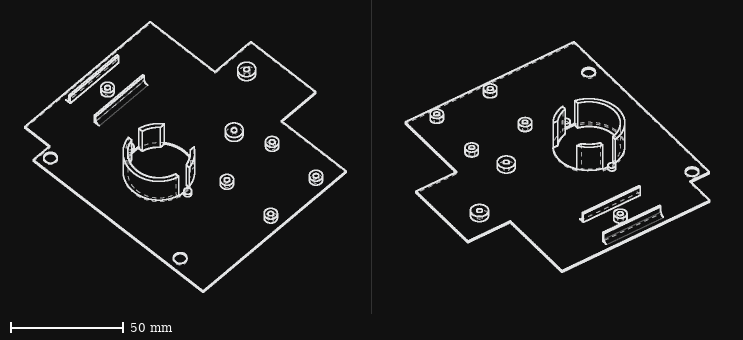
import cadquery as cq
import math

PLATE_THICKNESS = 1.0
OVERALL_HEIGHT = 15.0

PLATE_HALF_WIDTH = 60.0
PLATE_DEPTH = 114.0
FRONT_Y = -34.1
BACK_Y = FRONT_Y + PLATE_DEPTH
TAB_HALF_WIDTH = 20.0
LEFT_SHOULDER_Y = 56.9
RIGHT_SHOULDER_Y = 57.7
CORNER_NOTCH_X = -44.6
CORNER_NOTCH_Y = -23.5

MOUNT_HOLE_DIAMETER = 6.0
MOUNT_HOLE_X = 40.0
MOUNT_HOLE_Y = -28.0

COLLAR_OUTER_RADIUS = 16.0
COLLAR_WALL = 2.0
COLLAR_INNER_RADIUS = COLLAR_OUTER_RADIUS - COLLAR_WALL
SIDE_SLOT_HALF_WIDTH = 3.4
BACK_GAP_HALF_WIDTH = 9.1

PEG_DIAMETER = 3.6
PEG_HEIGHT = 1.8
PEG_X = COLLAR_OUTER_RADIUS + PEG_DIAMETER / 2

STANDOFF_HEIGHT = 3.0
STANDOFF_BORE = 2.5
SMALL_STANDOFF_DIAMETER = 6.0
LARGE_STANDOFF_DIAMETER = 8.0
STANDOFF_FRONT_Y = 16.0
STANDOFF_BACK_Y = 45.0
STANDOFF_INNER_X = 26.6
STANDOFF_OUTER_X = 53.6
STANDOFF_LEFT_X = -46.9
SMALL_STANDOFFS = [
    (STANDOFF_LEFT_X, STANDOFF_FRONT_Y),
    (STANDOFF_INNER_X, STANDOFF_FRONT_Y),
    (STANDOFF_OUTER_X, STANDOFF_FRONT_Y),
    (STANDOFF_INNER_X, STANDOFF_BACK_Y),
    (STANDOFF_OUTER_X, STANDOFF_BACK_Y),
]
LARGE_STANDOFFS = [(-9.2, 66.0), (10.0, 37.9)]

RAIL_HEIGHT = 5.0
RAIL_THICKNESS = 1.0
RAIL_FOOT_RADIUS = 1.9
RAIL_LENGTH = 31.1
RAIL_FRONT_Y = -0.2
LEFT_RAIL_INNER_X = -54.4
RIGHT_RAIL_INNER_X = -39.5


def make_base_sheet():
    """Flat stepped sheet with mounting holes and the round, side-slotted opening."""
    outline = [
        (CORNER_NOTCH_X, FRONT_Y),
        (PLATE_HALF_WIDTH, FRONT_Y),
        (PLATE_HALF_WIDTH, RIGHT_SHOULDER_Y),
        (TAB_HALF_WIDTH, RIGHT_SHOULDER_Y),
        (TAB_HALF_WIDTH, BACK_Y),
        (-TAB_HALF_WIDTH, BACK_Y),
        (-TAB_HALF_WIDTH, LEFT_SHOULDER_Y),
        (-PLATE_HALF_WIDTH, LEFT_SHOULDER_Y),
        (-PLATE_HALF_WIDTH, CORNER_NOTCH_Y),
        (CORNER_NOTCH_X, CORNER_NOTCH_Y),
    ]
    sheet = cq.Workplane("XY").polyline(outline).close().extrude(PLATE_THICKNESS)
    mount_holes = (
        cq.Workplane("XY")
        .pushPoints([(-MOUNT_HOLE_X, MOUNT_HOLE_Y), (MOUNT_HOLE_X, MOUNT_HOLE_Y)])
        .circle(MOUNT_HOLE_DIAMETER / 2)
        .extrude(PLATE_THICKNESS)
    )
    opening = cq.Workplane("XY").circle(COLLAR_OUTER_RADIUS).extrude(PLATE_THICKNESS)
    side_slot = (
        cq.Workplane("XY")
        .rect(2 * COLLAR_OUTER_RADIUS, 2 * SIDE_SLOT_HALF_WIDTH)
        .extrude(PLATE_THICKNESS)
    )
    return sheet.cut(mount_holes).cut(opening).cut(side_slot)


def collar_point(radius, y):
    """Point at positive X on a circle about the origin."""
    return (math.sqrt(radius**2 - y**2), y)


def make_back_collar(side):
    """One of the two short back walls; side is -1 for left and 1 for right."""
    outer_start = collar_point(COLLAR_OUTER_RADIUS, SIDE_SLOT_HALF_WIDTH)
    inner_start = collar_point(COLLAR_INNER_RADIUS, SIDE_SLOT_HALF_WIDTH)
    outer_end_y = math.sqrt(COLLAR_OUTER_RADIUS**2 - BACK_GAP_HALF_WIDTH**2)
    inner_end_y = math.sqrt(COLLAR_INNER_RADIUS**2 - BACK_GAP_HALF_WIDTH**2)
    middle_y = (SIDE_SLOT_HALF_WIDTH + inner_end_y) / 2
    outer_middle = collar_point(COLLAR_OUTER_RADIUS, middle_y)
    inner_middle = collar_point(COLLAR_INNER_RADIUS, middle_y)
    return (
        cq.Workplane("XY")
        .moveTo(side * inner_start[0], inner_start[1])
        .lineTo(side * outer_start[0], outer_start[1])
        .threePointArc(
            (side * outer_middle[0], outer_middle[1]),
            (side * BACK_GAP_HALF_WIDTH, outer_end_y),
        )
        .lineTo(side * BACK_GAP_HALF_WIDTH, inner_end_y)
        .threePointArc((side * inner_middle[0], inner_middle[1]), (side * inner_start[0], inner_start[1]))
        .close()
        .extrude(OVERALL_HEIGHT)
    )


def make_front_collar():
    """C-shaped wall seated in the front half of the round opening."""
    outer_x, end_y = collar_point(COLLAR_OUTER_RADIUS, -SIDE_SLOT_HALF_WIDTH)
    inner_x = collar_point(COLLAR_INNER_RADIUS, -SIDE_SLOT_HALF_WIDTH)[0]
    return (
        cq.Workplane("XY")
        .moveTo(-outer_x, end_y)
        .threePointArc((0, -COLLAR_OUTER_RADIUS), (outer_x, end_y))
        .lineTo(inner_x, end_y)
        .threePointArc((0, -COLLAR_INNER_RADIUS), (-inner_x, end_y))
        .close()
        .extrude(OVERALL_HEIGHT)
    )


def make_posts(points, diameter, height):
    """Round posts standing on the top face of the sheet."""
    return (
        cq.Workplane("XY", origin=(0, 0, PLATE_THICKNESS))
        .pushPoints(points)
        .circle(diameter / 2)
        .extrude(height)
    )


def make_rail(inner_x, outward):
    """Upright rail with a concave foot; outward is the X direction of the foot."""
    foot_top_z = PLATE_THICKNESS + RAIL_FOOT_RADIUS
    rail_top_z = PLATE_THICKNESS + RAIL_HEIGHT
    outer_x = inner_x + outward * RAIL_THICKNESS
    toe_x = outer_x + outward * RAIL_FOOT_RADIUS
    arc_offset = RAIL_FOOT_RADIUS * math.sin(math.pi / 4)
    return (
        cq.Workplane("XZ", origin=(0, RAIL_FRONT_Y, 0))
        .moveTo(inner_x, PLATE_THICKNESS)
        .lineTo(inner_x, rail_top_z)
        .lineTo(outer_x, rail_top_z)
        .lineTo(outer_x, foot_top_z)
        .threePointArc(
            (toe_x - outward * arc_offset, foot_top_z - arc_offset),
            (toe_x, PLATE_THICKNESS),
        )
        .close()
        .extrude(-RAIL_LENGTH)
    )


def make_plate():
    """Sheet with its back collar walls, pegs, standoffs and rails."""
    body = make_base_sheet()
    for side in (-1, 1):
        body = body.union(make_back_collar(side))
    body = body.union(make_posts([(-PEG_X, 0), (PEG_X, 0)], PEG_DIAMETER, PEG_HEIGHT))
    body = body.union(make_posts(SMALL_STANDOFFS, SMALL_STANDOFF_DIAMETER, STANDOFF_HEIGHT))
    body = body.union(make_posts(LARGE_STANDOFFS, LARGE_STANDOFF_DIAMETER, STANDOFF_HEIGHT))
    body = body.union(make_rail(LEFT_RAIL_INNER_X, -1))
    body = body.union(make_rail(RIGHT_RAIL_INNER_X, 1))
    bores = (
        cq.Workplane("XY")
        .pushPoints(SMALL_STANDOFFS + LARGE_STANDOFFS)
        .circle(STANDOFF_BORE / 2)
        .extrude(PLATE_THICKNESS + STANDOFF_HEIGHT)
    )
    return body.cut(bores)


plate = make_plate()
front_collar = make_front_collar()

result = cq.Compound.makeCompound([*plate.vals(), front_collar.val()])